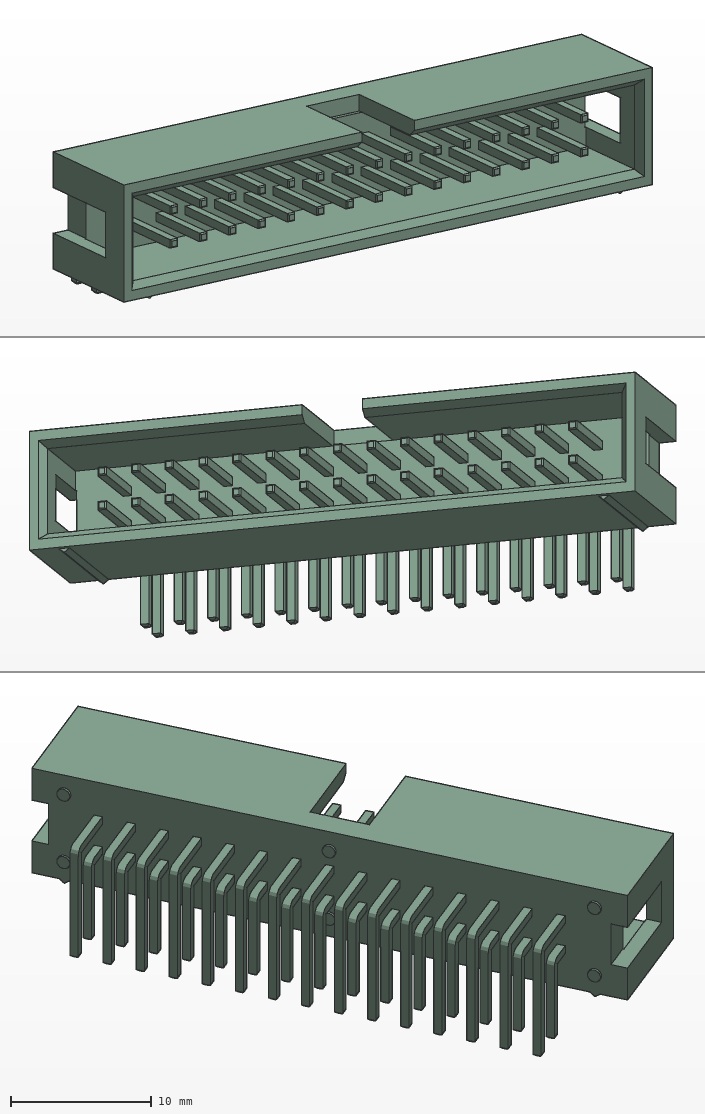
import cadquery as cq


body_depth = 8.9
body_length = 45.76
body_height = 8.84
mid_height = body_height / 2

base_thickness = 2.28
side_wall = 1.25
end_wall = 1.18
mouth_flare = 0.5
flare_depth = 0.55
cavity_length = body_length - 2 * end_wall
cavity_height = body_height - 2 * side_wall

notch_width = 4.55
notch_start = 1.95

window_height = 3.44
window_depth = 6.57
recess_depth = 1.27

standoff_diameter = 1.0
standoff_height = 0.2
standoff_end_inset = 2.5
standoff_spacing_y = body_length / 2 - standoff_end_inset
standoff_spacing_z = 5.7

rib_length = 8.52
rib_width = 0.8
rib_height = 0.3

pin_columns = 15
pitch = 2.54
pin_width = 0.64
bend_radius = pin_width
leg_tip_chamfer = 0.15
contact_tip_chamfer = 0.1
pin_front = 7.86
overall_depth = 13.55
overall_height = 12.1
pin_bottom = body_height - overall_height
outer_leg_x = body_depth - overall_depth + pin_width / 2
upper_row_z = mid_height + pitch / 2
lower_row_z = mid_height - pitch / 2


def box(x_start, x_end, y_size, z_start, z_end, y_center=0.0):
    """Box between two X and two Z limits, centred on y_center."""
    corner = (x_start, y_center - y_size / 2, z_start)
    return cq.Workplane("XY").box(
        x_end - x_start, y_size, z_end - z_start, centered=False
    ).translate(corner)


def make_housing():
    """Shell with a cavity whose mouth flares outwards."""
    shell = box(0, body_depth, body_length, 0, body_height)
    cavity = box(
        base_thickness, body_depth, cavity_length, side_wall, body_height - side_wall
    )
    shell = shell.cut(cavity)
    flare = (
        cq.Workplane("YZ", origin=(body_depth - flare_depth, 0, mid_height))
        .rect(cavity_length, cavity_height)
        .workplane(offset=flare_depth)
        .rect(cavity_length + 2 * mouth_flare, cavity_height + 2 * mouth_flare)
        .loft()
    )
    return shell.cut(flare)


def cut_notch(housing):
    """Open the upper wall for the polarising key."""
    notch = box(
        notch_start, body_depth, notch_width, body_height - side_wall, body_height
    )
    return housing.cut(notch)


def cut_end_windows(housing):
    """Cut the window and base recess at both ends."""
    for end in (-1, 1):
        center_y = end * (body_length - recess_depth) / 2
        window = box(
            0,
            window_depth,
            recess_depth,
            mid_height - window_height / 2,
            mid_height + window_height / 2,
            center_y,
        )
        housing = housing.cut(window)
    return housing


def add_standoffs(housing):
    """Three columns of two round standoffs on the rear face."""
    standoffs = (
        cq.Workplane("YZ", origin=(0, 0, mid_height))
        .rarray(standoff_spacing_y, standoff_spacing_z, 3, 2)
        .circle(standoff_diameter / 2)
        .extrude(-standoff_height)
    )
    return housing.union(standoffs)


def add_ribs(housing):
    """A triangular rib along X under each end of the housing."""
    for end in (-1, 1):
        rib = (
            cq.Workplane("YZ", origin=(0, end * standoff_spacing_y, 0))
            .moveTo(-rib_width / 2, 0)
            .lineTo(0, -rib_height)
            .lineTo(rib_width / 2, 0)
            .close()
            .extrude(rib_length)
        )
        housing = housing.union(rib)
    return housing


def make_pin(leg_x, row_z):
    """L-shaped square pin with a rounded outer bend and tapered tips."""
    half = pin_width / 2
    contact = box(leg_x - half, pin_front, pin_width, row_z - half, row_z + half)
    contact = contact.faces(">X").chamfer(contact_tip_chamfer)
    leg = box(leg_x - half, leg_x + half, pin_width, pin_bottom, row_z + half)
    leg = leg.faces("<Z").chamfer(leg_tip_chamfer)
    bend_edge = cq.selectors.NearestToPointSelector((leg_x - half, 0, row_z + half))
    return contact.union(leg).edges("|Y").edges(bend_edge).fillet(bend_radius)


def add_pins(housing):
    """Two rows of pins; the upper row has its legs one pitch further back."""
    rows = (
        make_pin(outer_leg_x, upper_row_z),
        make_pin(outer_leg_x + pitch, lower_row_z),
    )
    for pin in rows:
        for column in range(pin_columns):
            offset_y = (column - (pin_columns - 1) / 2) * pitch
            housing = housing.union(pin.translate((0, offset_y, 0)))
    return housing


housing = make_housing()
housing = cut_notch(housing)
housing = cut_end_windows(housing)
housing = add_standoffs(housing)
housing = add_ribs(housing)
result = add_pins(housing)